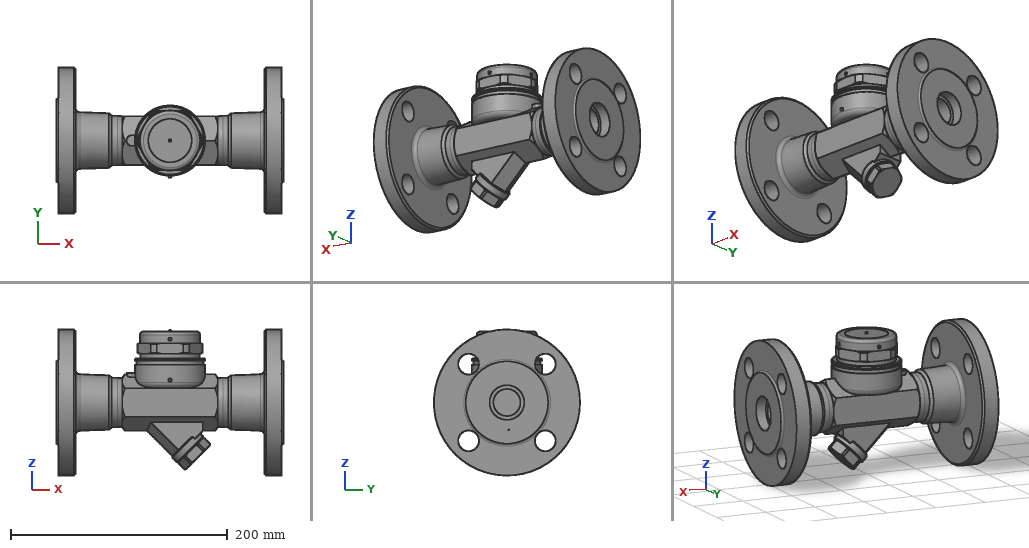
import cadquery as cq
import math

face_to_face = 210.0

flange_dia = 135.0
flange_thickness = 16.0
flange_chamfer = 1.8
raised_face_height = 2.0
raised_face_dia = 76.0
bolt_hole_dia = 19.0
bolt_circle_dia = 100.0
bolt_count = 4
first_bolt_angle = 45.0

hub_base_dia = 52.6
hub_end_dia = 50.6
hub_length = 30.5
hub_fillet = 3.7
hub_step_length = 3.0
pipe_dia = 46.0
pipe_length = 5.0
pipe_end_dia = 45.0
socket_dia = 32.0
socket_depth = 10.0
bore_dia = 25.0

body_length = 88.0
body_across_flats = 45.2
body_end_dia = 46.0
body_end_chamfer = 2.4

cup_bottom_z = 13.3
cup_dia = 65.0
cup_round = 5.4
cup_top_z = 34.7
groove_dia = 62.0
collar_bottom_z = 38.3
collar_top_z = 41.0
collar_chamfer = 1.3
cap_hex_bottom_z = 45.0
cap_hex_top_z = 54.8
cap_hex_across_flats = 55.0
cap_hex_corner_dia = 60.0
cap_hex_chamfer_radial = 1.3
cap_hex_chamfer_axial = 1.0
cap_neck_dia = 55.0
cap_dia = 55.5
cap_top_z = 65.5
cap_round = 3.0
cap_recess_dia = 40.0
cap_recess_depth = 0.2
cap_hole_dia = 3.0
cap_hole_depth = 2.0
cap_hole_z = 58.4
cap_hole_count = 4
top_bead_dia = 2.4
top_bead_z = 65.7
cup_bead_dia = 3.0
cup_bead_z = 20.7
cup_bead_y = -33.0

lug_width = 10.0
lug_tip_x = -40.0
lug_top_z = 27.4
lug_bottom_z = 16.0

branch_axis_z = -24.7
branch_across_flats = 27.6
branch_end = 40.0
branch_side_x = 30.3
branch_root_z = -12.0
plug_collar_dia = 34.0
plug_collar_start = 36.5
plug_collar_end = 44.4
plug_collar_chamfer = 0.7
plug_end = 54.0
plug_across_flats = 30.0
plug_corner_dia = 33.4
plug_chamfer_radial = 1.3
plug_chamfer_axial = 0.7

root_3 = math.sqrt(3)
body_corner_radius = body_across_flats / root_3
half_length = face_to_face / 2
flange_outer_x = half_length - raised_face_height
flange_inner_x = flange_outer_x - flange_thickness
hub_end_x = flange_inner_x - hub_length
pipe_start_x = hub_end_x - hub_step_length
pipe_end_x = pipe_start_x - pipe_length
body_half_length = body_length / 2
diagonal = math.sqrt(0.5)
branch_origin = branch_axis_z / 2


def cylinder_z(dia, bottom, top):
    """Cylinder about the Z axis between two heights."""
    return cq.Workplane("XY").workplane(offset=bottom).circle(dia / 2).extrude(top - bottom)


def hexagon(plane, across_flats, length):
    """Hexagonal prism with corners on the plane's local X axis."""
    return cq.Workplane(plane).polygon(6, across_flats * 2 / root_3).extrude(length)


def pipe_end():
    """Flange, tapered hub and pipe end on the +X side, as one turned solid."""
    hub_root_radius = hub_base_dia / 2 + hub_fillet
    fillet_end_x = flange_inner_x - hub_fillet
    arc_mid_offset = hub_fillet * (1 - diagonal)
    face_arc_offset = raised_face_height * diagonal
    return (
        cq.Workplane("XY")
        .moveTo(0, 0)
        .lineTo(half_length, 0)
        .lineTo(half_length, raised_face_dia / 2)
        .threePointArc(
            (half_length - face_arc_offset, raised_face_dia / 2 + raised_face_height - face_arc_offset),
            (flange_outer_x, raised_face_dia / 2 + raised_face_height),
        )
        .lineTo(flange_outer_x, flange_dia / 2)
        .lineTo(flange_inner_x + flange_chamfer, flange_dia / 2)
        .lineTo(flange_inner_x, flange_dia / 2 - flange_chamfer)
        .lineTo(flange_inner_x, hub_root_radius)
        .threePointArc(
            (flange_inner_x - arc_mid_offset, hub_base_dia / 2 + arc_mid_offset),
            (fillet_end_x, hub_base_dia / 2),
        )
        .lineTo(hub_end_x, hub_end_dia / 2)
        .lineTo(pipe_start_x, pipe_dia / 2)
        .lineTo(pipe_end_x, pipe_dia / 2)
        .lineTo(body_half_length, pipe_end_dia / 2)
        .lineTo(0, pipe_end_dia / 2)
        .close()
        .revolve(360, (0, 0, 0), (1, 0, 0))
    )


def pipe_end_cuts():
    """Bolt holes, socket and blind bore of the +X pipe end."""
    bolt_holes = (
        cq.Workplane("YZ")
        .workplane(offset=flange_inner_x)
        .polarArray(bolt_circle_dia / 2, first_bolt_angle, 360, bolt_count)
        .circle(bolt_hole_dia / 2)
        .extrude(flange_thickness)
    )
    socket = (
        cq.Workplane("YZ")
        .workplane(offset=half_length - socket_depth)
        .circle(socket_dia / 2)
        .extrude(socket_depth)
    )
    bore = (
        cq.Workplane("YZ")
        .workplane(offset=body_half_length)
        .circle(bore_dia / 2)
        .extrude(half_length - body_half_length)
    )
    return bolt_holes.union(socket).union(bore)


def body():
    """Hexagonal bar along X with a ridge on top and turned, chamfered ends."""
    plane = cq.Plane(origin=(-body_half_length, 0, 0), xDir=(0, 0, 1), normal=(1, 0, 0))
    bar = hexagon(plane, body_across_flats, body_length)
    envelope = (
        cq.Workplane("XY")
        .moveTo(-body_half_length, 0)
        .lineTo(-body_half_length, body_end_dia / 2)
        .lineTo(-body_half_length + body_end_chamfer, body_corner_radius)
        .lineTo(body_half_length - body_end_chamfer, body_corner_radius)
        .lineTo(body_half_length, body_end_dia / 2)
        .lineTo(body_half_length, 0)
        .close()
        .revolve(360, (0, 0, 0), (1, 0, 0))
    )
    return bar.intersect(envelope)


def cap():
    """Cup, collar, hexagon and rounded cap stacked along Z."""
    cup = cylinder_z(cup_dia, cup_bottom_z, cup_top_z).faces("<Z").edges().fillet(cup_round)
    groove = cylinder_z(groove_dia, cup_top_z, collar_bottom_z)
    collar = cylinder_z(cup_dia, collar_bottom_z, collar_top_z).faces(">Z").chamfer(collar_chamfer)
    neck = cylinder_z(cap_neck_dia, collar_top_z, cap_hex_bottom_z)
    hex_plane = cq.Plane(origin=(0, 0, cap_hex_bottom_z))
    nut_limit = (
        cylinder_z(cap_hex_corner_dia, cap_hex_bottom_z, cap_hex_top_z)
        .faces(">Z or <Z")
        .chamfer(cap_hex_chamfer_axial, cap_hex_chamfer_radial)
    )
    nut = hexagon(hex_plane, cap_hex_across_flats, cap_hex_top_z - cap_hex_bottom_z).intersect(nut_limit)
    top = cylinder_z(cap_dia, cap_hex_top_z, cap_top_z).faces(">Z").edges().fillet(cap_round)
    top = top.cut(cylinder_z(cap_recess_dia, cap_top_z - cap_recess_depth, cap_top_z))
    stack = cup.union(groove).union(collar).union(neck).union(nut).union(top)
    hole = (
        cq.Workplane("YZ")
        .workplane(offset=cap_dia / 2 - cap_hole_depth)
        .center(0, cap_hole_z)
        .circle(cap_hole_dia / 2)
        .extrude(2 * cap_hole_depth)
    )
    for i in range(cap_hole_count):
        stack = stack.cut(hole.rotate((0, 0, 0), (0, 0, 1), i * 360 / cap_hole_count))
    top_bead = cq.Workplane("XY").sphere(top_bead_dia / 2).translate((0, 0, top_bead_z))
    cup_bead = cq.Workplane("XY").sphere(cup_bead_dia / 2).translate((0, cup_bead_y, cup_bead_z))
    return stack.union(top_bead).union(cup_bead)


def lug():
    """Round-ended lug projecting from the cup toward -X."""
    radius = lug_width / 2
    centre_x = lug_tip_x + radius
    return (
        cq.Workplane("XY")
        .workplane(offset=lug_bottom_z)
        .moveTo(0, -radius)
        .lineTo(centre_x, -radius)
        .threePointArc((lug_tip_x, 0), (centre_x, radius))
        .lineTo(0, radius)
        .close()
        .extrude(lug_top_z - lug_bottom_z)
    )


def branch_plane(distance):
    """Plane across the branch axis; its local X lies in the XZ plane."""
    offset = distance * diagonal
    return cq.Plane(
        origin=(branch_origin + offset, 0, branch_origin - offset),
        xDir=(diagonal, 0, diagonal),
        normal=(diagonal, 0, -diagonal),
    )


def branch():
    """Hexagonal branch with a wedge web, plug collar and hexagonal plug."""
    pipe = hexagon(branch_plane(0), branch_across_flats, branch_end)

    end_point = branch_plane(branch_end).origin
    start_x = branch_axis_z - branch_root_z
    web = (
        cq.Workplane("XZ")
        .moveTo(start_x, branch_root_z)
        .lineTo(branch_side_x, branch_root_z)
        .lineTo(branch_side_x, end_point.z + branch_side_x - end_point.x)
        .lineTo(end_point.x, end_point.z)
        .close()
        .extrude(branch_across_flats / 2, both=True)
    )

    collar = (
        cq.Workplane(branch_plane(plug_collar_start))
        .circle(plug_collar_dia / 2)
        .extrude(plug_collar_end - plug_collar_start)
        .edges("%CIRCLE")
        .chamfer(plug_collar_chamfer)
    )
    plug_length = plug_end - plug_collar_end
    plug_limit = (
        cq.Workplane(branch_plane(plug_collar_end))
        .circle(plug_corner_dia / 2)
        .extrude(plug_length)
        .edges("%CIRCLE")
        .chamfer(plug_chamfer_axial, plug_chamfer_radial)
    )
    plug = hexagon(branch_plane(plug_collar_end), plug_across_flats, plug_length).intersect(plug_limit)
    return pipe.union(web).union(collar).union(plug)


right_end = pipe_end()
right_cuts = pipe_end_cuts()

result = body().union(right_end).union(right_end.mirror("YZ"))
result = result.union(cap()).union(lug()).union(branch())
result = result.cut(right_cuts).cut(right_cuts.mirror("YZ"))